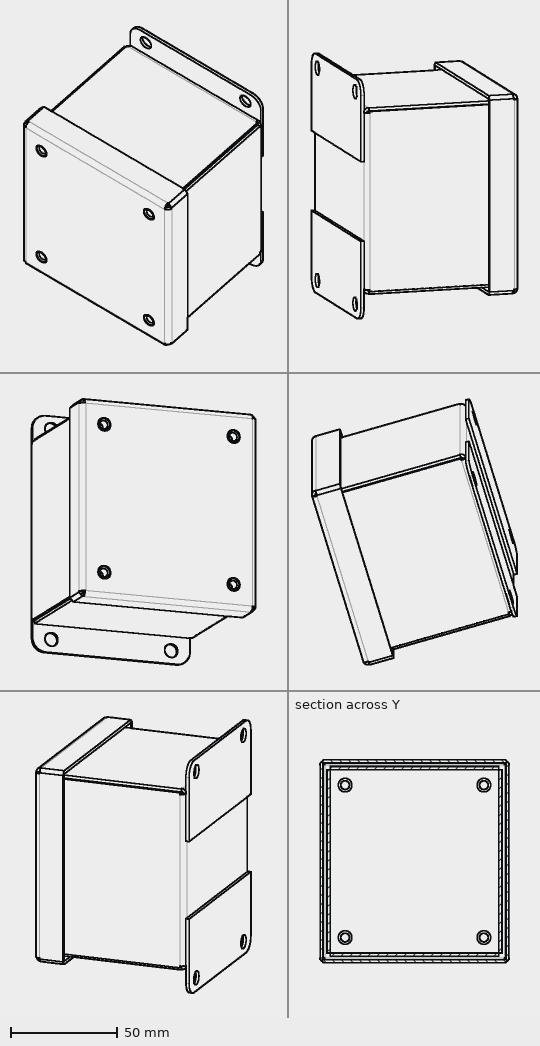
import cadquery as cq


sheet = 1.6
bend_radius = 2.4
bend_relief = 2.3

box_width = 82.3
box_height = 89.2
box_corner_notch = 1.5

lid_width = 88.9
lid_height = 95.4
lid_rim_depth = 14.3
lid_corner_chamfer = 1.8

overall_height = 114.3
overall_depth = 76.1
plate_width = 79.3
plate_height = 38.1
plate_corner_radius = 6.4
mount_hole_diameter = 6.5
mount_hole_spacing_x = 60.4
mount_hole_spacing_z = 101.6

insert_diameter = 6.4
insert_mouth_diameter = 5.5
insert_bore_diameter = 4.0
insert_mouth_depth = 0.8
insert_length = 6.9
insert_spacing_x = 65.2
insert_spacing_z = 71.5

lid_front_y = -overall_depth
box_back_y = -sheet
box_depth = overall_depth - 2 * sheet


def corner_points(spacing_x, spacing_z):
    """The four corners of a rectangle centred on the origin, as (x, z) pairs."""
    return [(sx * spacing_x / 2, sz * spacing_z / 2) for sx in (-1, 1) for sz in (-1, 1)]


def block(width, height, y_start, y_end):
    """A block centred on X = Z = 0 that runs from y_start to y_end."""
    return (
        cq.Workplane("XZ", origin=(0, y_start, 0))
        .rect(width, height)
        .extrude(y_start - y_end)
    )


def cylinder_at(x, z, diameter, y_start, y_end):
    """A round bar along Y that runs from y_start to y_end."""
    return (
        cq.Workplane("XZ", origin=(x, y_start, z))
        .circle(diameter / 2)
        .extrude(y_start - y_end)
    )


def bent_tray(width, height, depth):
    """A tray with its floor on Y = 0, its walls bent towards +Y and its corner bends relieved."""
    outside = block(width, height, 0, depth).faces("<Y").edges().fillet(bend_radius)
    inside = (
        block(width - 2 * sheet, height - 2 * sheet, sheet, depth)
        .faces("<Y")
        .edges()
        .fillet(bend_radius - sheet)
    )
    tray = outside.cut(inside)
    for x, z in corner_points(width, height):
        relief = block(2 * bend_relief, 2 * bend_relief, 0, bend_radius)
        tray = tray.cut(relief.translate((x, 0, z)))
    return tray


def make_box():
    """The box: a deep tray that opens to the front, with a square notch along each corner."""
    tray = bent_tray(box_width, box_height, box_depth)
    for x, z in corner_points(box_width, box_height):
        notch = block(2 * box_corner_notch, 2 * box_corner_notch, 0, box_depth)
        tray = tray.cut(notch.translate((x, 0, z)))
    return tray.rotate((0, 0, 0), (0, 0, 1), 180).translate((0, box_back_y, 0))


def make_lid():
    """The lid: a shallow tray over the box front, with chamfered corners and insert holes."""
    chamfered_outline = (
        block(lid_width, lid_height, 0, lid_rim_depth).edges("|Y").chamfer(lid_corner_chamfer)
    )
    lid = bent_tray(lid_width, lid_height, lid_rim_depth).intersect(chamfered_outline)
    for x, z in corner_points(insert_spacing_x, insert_spacing_z):
        lid = lid.cut(cylinder_at(x, z, insert_diameter, 0, sheet))
    return lid.translate((0, lid_front_y, 0))


def make_mounting_plate(side):
    """A plate behind the box that sticks out above it (side = 1) or below it (side = -1)."""
    plate_middle_z = side * (overall_height - plate_height) / 2
    plate = block(plate_width, plate_height, -sheet, 0).translate((0, 0, plate_middle_z))
    outer_face = ">Z" if side > 0 else "<Z"
    plate = plate.faces(outer_face).edges("|Y").fillet(plate_corner_radius)
    for x in (-mount_hole_spacing_x / 2, mount_hole_spacing_x / 2):
        hole_z = side * mount_hole_spacing_z / 2
        plate = plate.cut(cylinder_at(x, hole_z, mount_hole_diameter, -sheet, 0))
    return plate


def make_insert(x, z):
    """A threaded insert flush with the lid front: a tube with a tapered mouth."""
    outer_radius = insert_diameter / 2
    mouth_radius = insert_mouth_diameter / 2
    bore_radius = insert_bore_diameter / 2
    insert = (
        cq.Workplane("XY")
        .moveTo(mouth_radius, 0)
        .lineTo(outer_radius, 0)
        .lineTo(outer_radius, insert_length)
        .lineTo(bore_radius, insert_length)
        .lineTo(bore_radius, insert_mouth_depth)
        .close()
        .revolve(360, (0, 0, 0), (0, 1, 0))
    )
    return insert.translate((x, lid_front_y, z))


box = make_box()
lid = make_lid()
mounting_plates = [make_mounting_plate(side) for side in (1, -1)]
inserts = [make_insert(x, z) for x, z in corner_points(insert_spacing_x, insert_spacing_z)]

result = cq.Compound.makeCompound(
    [
        box.val(),
        lid.val(),
        *[plate.val() for plate in mounting_plates],
        *[insert.val() for insert in inserts],
    ]
)